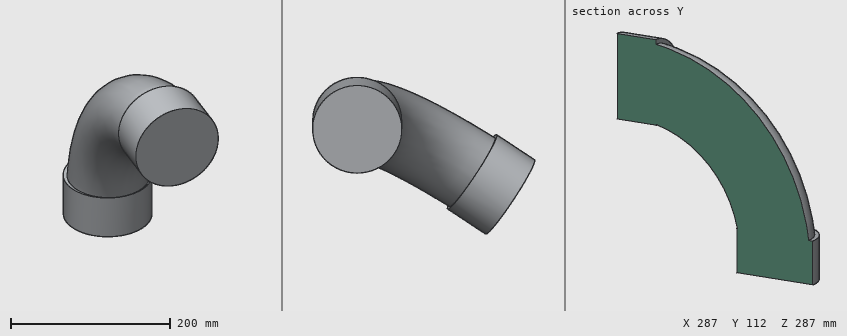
import cadquery as cq

overall_size = 287.0
socket_diameter = 112.0
socket_length = 57.5
tube_diameter = 103.5
straight_length = 25.8

end_distance = overall_size - socket_diameter / 2
bend_radius = end_distance - straight_length


def vertical_cylinder(diameter, length):
    """Cylinder rising from the lower end face."""
    return cq.Workplane("XY").circle(diameter / 2).extrude(length)


def horizontal_cylinder(diameter, length):
    """Cylinder running from the +X end face back into the part."""
    end_plane = cq.Workplane("YZ", origin=(end_distance, 0, end_distance))
    return end_plane.circle(diameter / 2).extrude(-length)


bend = (
    cq.Workplane("XY", origin=(0, 0, straight_length))
    .circle(tube_diameter / 2)
    .revolve(90, (bend_radius, 0, 0), (bend_radius, 1, 0))
)

lower_socket = vertical_cylinder(socket_diameter, socket_length)
upper_socket = horizontal_cylinder(socket_diameter, socket_length)

result = bend.union(lower_socket).union(upper_socket)